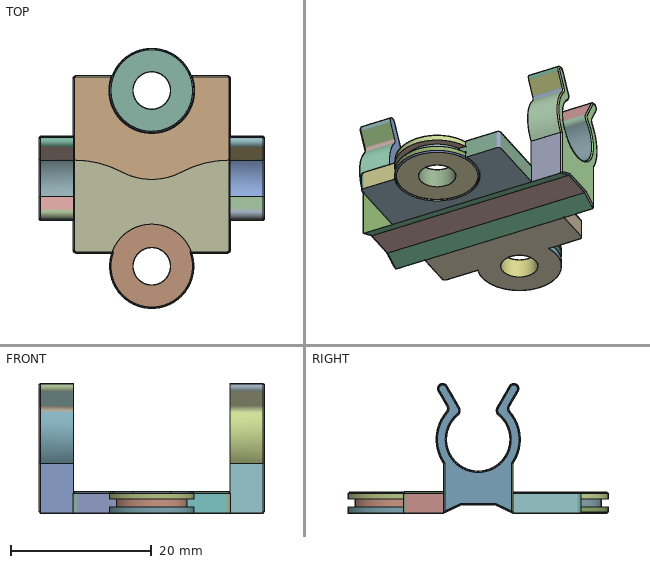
import cadquery as cq
import math

plate_half_width = 11.2
plate_front = -10.65
plate_back = 14.65
plate_thickness = 3.0
plate_corner_radius = 0.5
edge_chamfer = 0.2

patch_height = 0.1
wave_edge_y = 2.6
wave_middle_y = -0.15
wave_bend_x = 4.25

disc_radius = 6.0
disc_offset = 12.5
disc_hole_diameter = 5.3
groove_radius = 5.0
groove_bottom = 0.9
groove_top = 2.0
clearance = 0.1

channel_half_width = 4.95
channel_roof_half_width = 2.4
channel_height = 1.2

clip_inner_x = 11.1
clip_outer_x = 16.05
clip_top = 18.45
clip_axis_z = 10.5
clip_radius = 6.0
bore_radius = 4.5
arm_thickness = 1.45
arm_tilt = math.radians(30)
arm_tip_y = 5.06
arm_root_outer_fillet = 0.7
arm_root_inner_fillet = 0.85
base_half_width = channel_half_width

selection_margin = 0.1

patch_half_width = plate_half_width - edge_chamfer
patch_front = plate_front + edge_chamfer


def arm_circle_crossing(line_y, line_z, radius):
    """Point where an arm side through (line_y, line_z) runs down into a circle about the clip axis."""
    dir_y = math.sin(arm_tilt)
    dir_z = math.cos(arm_tilt)
    rise = line_z - clip_axis_z
    along = line_y * dir_y + rise * dir_z
    off_axis = line_y * dir_z - rise * dir_y
    travel = math.sqrt(radius**2 - off_axis**2) - along
    return line_y + travel * dir_y, line_z + travel * dir_z


def make_clip():
    """Clip on the +X side: pedestal, open ring and two flared arms."""
    tip_radius = arm_thickness / 2
    tip_z = clip_top - tip_radius
    shift_y = tip_radius * math.cos(arm_tilt)
    shift_z = tip_radius * math.sin(arm_tilt)

    tip_outer = (arm_tip_y + shift_y, tip_z - shift_z)
    tip_inner = (arm_tip_y - shift_y, tip_z + shift_z)
    tip_end = (arm_tip_y + tip_radius * math.sin(arm_tilt), tip_z + tip_radius * math.cos(arm_tilt))
    root_outer = arm_circle_crossing(*tip_outer, clip_radius)
    root_inner = arm_circle_crossing(*tip_inner, bore_radius)
    shoulder_z = clip_axis_z - math.sqrt(clip_radius**2 - base_half_width**2)
    shoulder = (base_half_width, shoulder_z)

    def mirrored(point):
        return -point[0], point[1]

    clip = (
        cq.Workplane("YZ", origin=(clip_inner_x, 0, 0))
        .moveTo(base_half_width, 0)
        .lineTo(*shoulder)
        .threePointArc((clip_radius, clip_axis_z), root_outer)
        .lineTo(*tip_outer)
        .threePointArc(tip_end, tip_inner)
        .lineTo(*root_inner)
        .threePointArc((0, clip_axis_z - bore_radius), mirrored(root_inner))
        .lineTo(*mirrored(tip_inner))
        .threePointArc(mirrored(tip_end), mirrored(tip_outer))
        .lineTo(*mirrored(root_outer))
        .threePointArc((-clip_radius, clip_axis_z), mirrored(shoulder))
        .lineTo(-base_half_width, 0)
        .lineTo(-channel_roof_half_width, channel_height)
        .lineTo(channel_roof_half_width, channel_height)
        .close()
        .extrude(clip_outer_x - clip_inner_x)
    )
    middle_x = (clip_inner_x + clip_outer_x) / 2
    for root, fillet_radius in ((root_outer, arm_root_outer_fillet), (root_inner, arm_root_inner_fillet)):
        for y, z in (root, mirrored(root)):
            root_edge = cq.selectors.NearestToPointSelector((middle_x, y, z))
            clip = clip.edges(root_edge).fillet(fillet_radius)
    rim_x = clip_outer_x + selection_margin
    above_shoulder = cq.selectors.BoxSelector(
        (clip_inner_x, -clip_radius, shoulder_z),
        (rim_x, clip_radius, clip_top),
    )
    clip = clip.faces(">X").edges(above_shoulder).chamfer(edge_chamfer)
    below_shoulder = cq.selectors.BoxSelector(
        (clip_inner_x, -clip_radius, -selection_margin),
        (rim_x, clip_radius, shoulder_z),
    )
    return clip.faces(">X").edges(below_shoulder).chamfer(edge_chamfer)


def make_disc(center_y):
    """Disc with a square groove around its rim."""
    disc = cq.Workplane("XY").circle(disc_radius).extrude(plate_thickness)
    groove = (
        cq.Workplane("XY", origin=(0, 0, groove_bottom))
        .circle(disc_radius)
        .circle(groove_radius)
        .extrude(groove_top - groove_bottom)
    )
    return disc.faces(">Z").edges().chamfer(edge_chamfer).cut(groove).translate((0, center_y, 0))


def make_disc_hole(center_y):
    return (
        cq.Workplane("XY", origin=(0, center_y, 0))
        .circle(disc_hole_diameter / 2)
        .extrude(plate_thickness)
    )


def make_plate():
    length = plate_back - plate_front
    plate = (
        cq.Workplane("XY", origin=(0, (plate_front + plate_back) / 2, 0))
        .rect(2 * plate_half_width, length)
        .extrude(plate_thickness)
    )
    return plate.edges("|Z").fillet(plate_corner_radius).faces(">Z").edges().chamfer(edge_chamfer)


def make_channel():
    return (
        cq.Workplane("YZ", origin=(-plate_half_width, 0, 0))
        .moveTo(-channel_half_width, 0)
        .lineTo(-channel_roof_half_width, channel_height)
        .lineTo(channel_roof_half_width, channel_height)
        .lineTo(channel_half_width, 0)
        .close()
        .extrude(2 * plate_half_width)
    )


def make_patch():
    """Thin raised patch; the arcs of its wave meet tangentially at the bends."""
    chord_slope = (wave_edge_y - wave_middle_y) / patch_half_width
    bend_y = wave_middle_y + wave_bend_x * chord_slope
    bend_angle = 2 * math.atan(chord_slope)
    outer_arc_radius = (patch_half_width - wave_bend_x) / math.sin(bend_angle)
    half_arc_x = outer_arc_radius * math.sin(bend_angle / 2)
    half_arc_drop = outer_arc_radius * (1 - math.cos(bend_angle / 2))
    crest_x = patch_half_width - half_arc_x
    crest_y = wave_edge_y - half_arc_drop
    patch = (
        cq.Workplane("XY", origin=(0, 0, plate_thickness))
        .moveTo(-patch_half_width, patch_front)
        .lineTo(-patch_half_width, wave_edge_y)
        .threePointArc((-crest_x, crest_y), (-wave_bend_x, bend_y))
        .threePointArc((0, wave_middle_y), (wave_bend_x, bend_y))
        .threePointArc((crest_x, crest_y), (patch_half_width, wave_edge_y))
        .lineTo(patch_half_width, patch_front)
        .close()
        .extrude(patch_height)
    )
    disc_outline = (
        cq.Workplane("XY", origin=(0, -disc_offset, plate_thickness))
        .circle(disc_radius)
        .extrude(patch_height)
    )
    return patch.edges("|Z and <Y").fillet(plate_corner_radius - edge_chamfer).cut(disc_outline)


def make_swivel_pocket():
    """Pocket that follows the loose disc with a small gap; its inner lip holds the disc by its groove."""
    pocket = cq.Workplane("XY").circle(disc_radius + clearance).extrude(plate_thickness)
    lip = (
        cq.Workplane("XY", origin=(0, 0, groove_bottom + clearance))
        .circle(disc_radius + clearance)
        .circle(groove_radius + clearance)
        .extrude(groove_top - groove_bottom - 2 * clearance)
    )
    return pocket.cut(lip).translate((0, disc_offset, 0))


clip = make_clip()
bracket = (
    make_plate()
    .cut(make_channel())
    .cut(make_swivel_pocket())
    .union(make_disc(-disc_offset))
    .cut(make_disc_hole(-disc_offset))
    .union(make_patch())
    .union(clip)
    .union(clip.mirror("YZ"))
)

swivel_disc = (
    make_disc(disc_offset)
    .faces("<Z")
    .edges()
    .chamfer(edge_chamfer)
    .cut(make_disc_hole(disc_offset))
)

result = cq.Compound.makeCompound([bracket.val(), swivel_disc.val()])